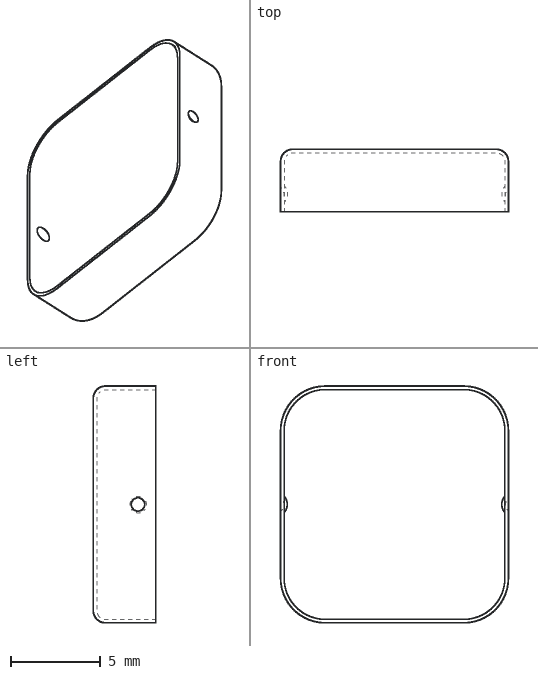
import cadquery as cq
import math

width = 12.7
depth = 3.5
height = 13.2
corner_radius = 2.5

wall = 0.2
outer_back_fillet = 0.7
inner_back_fillet = outer_back_fillet - wall

dent_diameter = 0.74
dimple_depth = 0.18
dimple_from_rim = 1.0

dent_sphere_radius = ((dent_diameter / 2) ** 2 + dimple_depth**2) / (2 * dimple_depth)
bump_sphere_radius = dent_sphere_radius + wall


def rounded_block(size_x, size_y, size_z, edge_radius, back_fillet):
    """Block running from the rim plane Y = 0 to +Y, rounded around its back face."""
    return (
        cq.Workplane("XY")
        .box(size_x, size_y, size_z, centered=(True, False, True))
        .edges("|Y")
        .fillet(edge_radius)
        .faces(">Y")
        .edges()
        .fillet(back_fillet)
    )


def make_shell():
    """Box of uniform thickness with its open rim on the plane Y = 0."""
    outer = rounded_block(width, depth, height, corner_radius, outer_back_fillet)
    cavity = rounded_block(
        width - 2 * wall,
        depth - wall,
        height - 2 * wall,
        corner_radius - wall,
        inner_back_fillet,
    )
    return outer.cut(cavity)


def dimple_cap(side, wall_face_x, sphere_radius):
    """Spherical cap bulging inward from a side wall face; side is -1 or +1."""
    base_x = side * wall_face_x
    tip_x = side * (wall_face_x - dimple_depth)
    center_x = tip_x + side * sphere_radius

    cap_angle = math.acos((sphere_radius - dimple_depth) / sphere_radius)
    edge_y = sphere_radius * math.sin(cap_angle)
    mid_x = center_x - side * sphere_radius * math.cos(cap_angle / 2)
    mid_y = sphere_radius * math.sin(cap_angle / 2)
    return (
        cq.Workplane("XY")
        .moveTo(base_x, 0)
        .lineTo(tip_x, 0)
        .threePointArc((mid_x, mid_y), (base_x, edge_y))
        .close()
        .revolve(360, (0, 0, 0), (1, 0, 0))
        .translate((0, dimple_from_rim, 0))
    )


def press_dimples(shell):
    """Form one dimple in each side wall: a bump inside and a dent outside."""
    for side in (-1, 1):
        bump = dimple_cap(side, width / 2 - wall, bump_sphere_radius)
        dent = dimple_cap(side, width / 2, dent_sphere_radius)
        shell = shell.union(bump).cut(dent)
    return shell


result = press_dimples(make_shell())